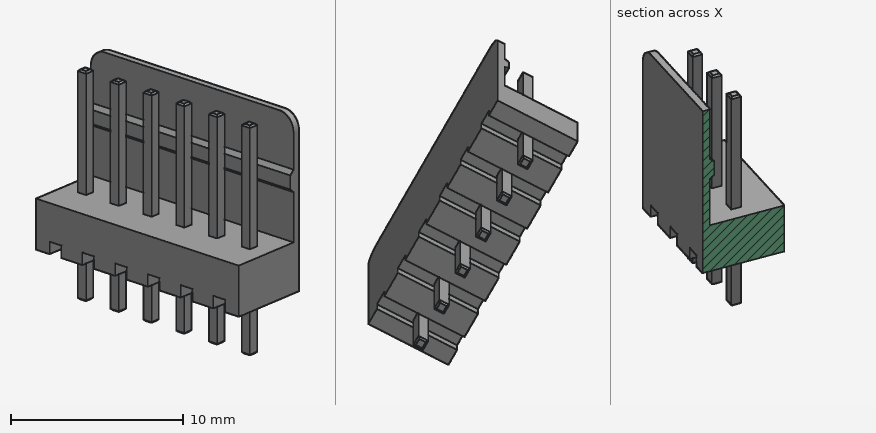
import cadquery as cq

length = 15.72
depth = 5.3
base_height = 3.2
wall_height = 11.2
wall_thickness = 0.49
wall_corner_radius = 1.1

rib_projection = 0.28
rib_root_bottom = 6.35
rib_root_top = 7.77
rib_crest_bottom = 6.6
rib_crest_top = 7.48

pin_count = 6
end_margin = 1.51
pin_pitch = (length - 2 * end_margin) / (pin_count - 1)
pin_width = 0.65
pin_tip_chamfer = 0.11
pin_bottom = -3.5
pin_top = 10.91

groove_width = 0.9
groove_height = 0.79

front_y = -depth / 2
back_y = depth / 2
wall_front_y = back_y - wall_thickness
pin_positions = [end_margin - length / 2 + i * pin_pitch for i in range(pin_count)]


def make_housing():
    """L-shaped base and wall with the locking rib, extruded along X."""
    rib_crest_y = wall_front_y - rib_projection
    profile = [
        (front_y, 0),
        (back_y, 0),
        (back_y, wall_height),
        (wall_front_y, wall_height),
        (wall_front_y, rib_root_top),
        (rib_crest_y, rib_crest_top),
        (rib_crest_y, rib_crest_bottom),
        (wall_front_y, rib_root_bottom),
        (wall_front_y, base_height),
        (front_y, base_height),
    ]
    housing = cq.Workplane("YZ").polyline(profile).close().extrude(length / 2, both=True)
    return housing.faces(">Z").edges("|Y").fillet(wall_corner_radius)


def make_groove(x):
    """Cutter for a groove running the full depth of the base underside."""
    return (
        cq.Workplane("XY", origin=(x, 0, 0))
        .rect(groove_width, depth)
        .extrude(groove_height)
    )


def make_pin(x):
    """Square pin with chamfered tips."""
    pin = (
        cq.Workplane("XY", origin=(x, 0, pin_bottom))
        .rect(pin_width, pin_width)
        .extrude(pin_top - pin_bottom)
    )
    return pin.faces("<Z or >Z").chamfer(pin_tip_chamfer)


result = make_housing()
for x in pin_positions:
    result = result.cut(make_groove(x))
for x in pin_positions:
    result = result.union(make_pin(x))